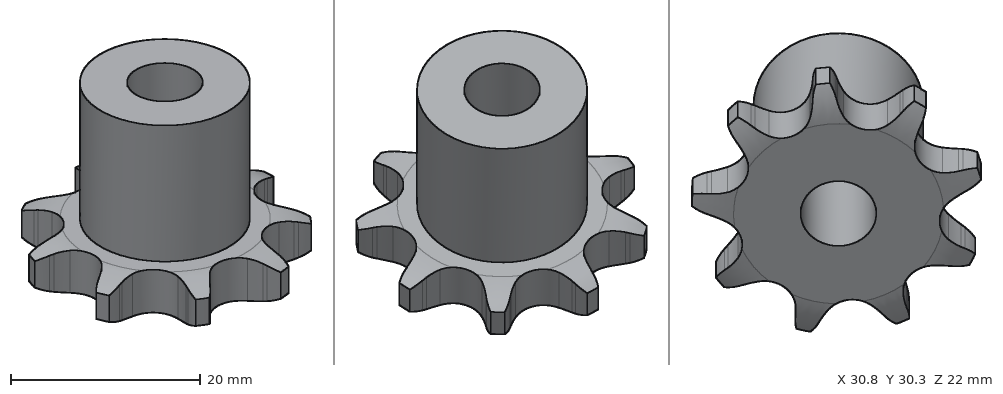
import cadquery as cq
import math


tooth_count = 9
chain_pitch = 9.53
roller_diameter = 6.33
tip_diameter = 31.0
wheel_width = 5.3

side_round_radius = 10.0
side_round_depth = 1.0

hub_diameter = 18.0
bore_diameter = 8.0
total_height = 22.0

seating_clearance = 0.037
seating_radius = 0.5025 * roller_diameter + seating_clearance
working_radius = seating_radius + 0.8 * roller_diameter
seating_angle = math.radians(35 + 60 / tooth_count)
working_sweep = math.radians(18 - 56 / tooth_count)
flank_angle = seating_angle - working_sweep
topping_angle = math.radians(17 - 64 / tooth_count)
straight_length = roller_diameter * (1.4 * math.sin(topping_angle) - 0.8 * math.sin(working_sweep))
topping_reach = 0.8 * math.cos(working_sweep) + 1.4 * math.cos(topping_angle)
topping_radius = roller_diameter * topping_reach - working_radius

tip_radius = tip_diameter / 2
pitch_radius = chain_pitch / (2 * math.sin(math.pi / tooth_count))
gap_step = 360 / tooth_count


def point_from(center, distance, angle):
    """Point at a distance and angle (radians) from a center."""
    return (center[0] + distance * math.cos(angle), center[1] + distance * math.sin(angle))


def mirrored(point):
    """Point reflected across the gap centerline (the Y axis)."""
    return (-point[0], point[1])


def make_wheel_blank():
    """Disc whose top and bottom faces curve down to a narrower rim."""
    side_round_run = math.sqrt(side_round_radius**2 - (side_round_radius - side_round_depth) ** 2)
    flat_radius = tip_radius - side_round_run
    middle_angle = math.asin(side_round_run / side_round_radius) / 2
    middle_radius = flat_radius + side_round_radius * math.sin(middle_angle)
    middle_depth = side_round_radius * (1 - math.cos(middle_angle))
    return (
        cq.Workplane("XZ")
        .lineTo(flat_radius, 0)
        .threePointArc((middle_radius, middle_depth), (tip_radius, side_round_depth))
        .lineTo(tip_radius, wheel_width - side_round_depth)
        .threePointArc((middle_radius, wheel_width - middle_depth), (flat_radius, wheel_width))
        .lineTo(0, wheel_width)
        .close()
        .revolve(360, (0, 0, 0), (0, 1, 0))
    )


def make_tooth_gap():
    """Cutter for one gap on the +Y side: seating, working, straight and topping flanks."""
    roller_center = (0, pitch_radius)
    root = (0, pitch_radius - seating_radius)
    seating_end = point_from(roller_center, seating_radius, -seating_angle)

    working_center = point_from(seating_end, working_radius, math.pi - seating_angle)
    working_middle = point_from(working_center, working_radius, -seating_angle + working_sweep / 2)
    working_end = point_from(working_center, working_radius, -flank_angle)

    straight_end = point_from(working_end, straight_length, math.pi / 2 - flank_angle)

    topping_center = point_from(straight_end, topping_radius, -flank_angle)
    topping_start_angle = math.pi - flank_angle
    topping_middle_angle = (topping_start_angle + math.pi / 2) / 2
    topping_middle = point_from(topping_center, topping_radius, topping_middle_angle)
    topping_crest = point_from(topping_center, topping_radius, math.pi / 2)

    return (
        cq.Workplane("XY")
        .moveTo(*mirrored(topping_crest))
        .threePointArc(mirrored(topping_middle), mirrored(straight_end))
        .lineTo(*mirrored(working_end))
        .threePointArc(mirrored(working_middle), mirrored(seating_end))
        .threePointArc(root, seating_end)
        .threePointArc(working_middle, working_end)
        .lineTo(*straight_end)
        .threePointArc(topping_middle, topping_crest)
        .close()
        .extrude(wheel_width)
    )


wheel = make_wheel_blank()
tooth_gap = make_tooth_gap()
for gap_index in range(tooth_count):
    wheel = wheel.cut(tooth_gap.rotate((0, 0, 0), (0, 0, 1), gap_index * gap_step))

hub = cq.Workplane("XY").circle(hub_diameter / 2).extrude(total_height)
bore = cq.Workplane("XY").circle(bore_diameter / 2).extrude(total_height)
result = wheel.union(hub).cut(bore)